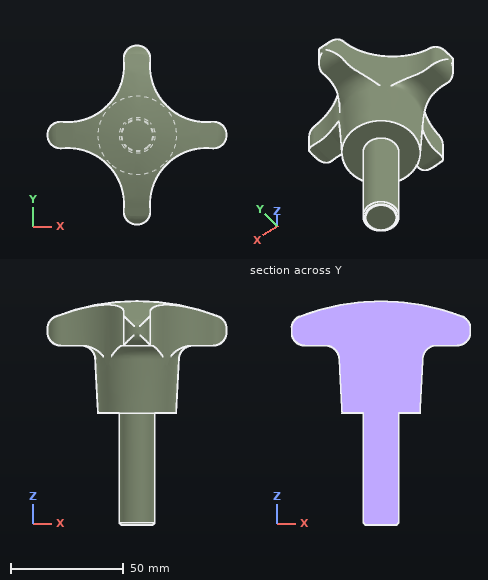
import cadquery as cq
import math


arm_reach = 40.0
arm_count = 4
tip_radius = 6.0
valley_radius = 25.0
head_top = 50.0
head_bottom = 30.0
dome_radius = 100.0

hub_base_radius = 17.5
hub_draft = math.radians(3)
neck_radius = 6.0

stud_radius = 8.0
stud_length = 50.0
stud_bevel = 0.8
stud_end_width = 0.4
stud_end_height = 0.2

tip_center = arm_reach - tip_radius


def polar(radius, angle):
    """Point at a distance from the origin, at an angle in radians."""
    return (radius * math.cos(angle), radius * math.sin(angle))


def offset_point(center_x, center_z, radius, angle):
    """Point on a circle around a given center, at an angle in radians."""
    x, z = polar(radius, angle)
    return (center_x + x, center_z + z)


def revolved_body():
    """Hub and domed head as one solid of revolution, before the arms are shaped."""
    dome_center = head_top - dome_radius
    upper_tip_center = dome_center + math.sqrt((dome_radius - tip_radius) ** 2 - tip_center ** 2)
    lower_tip_center = head_bottom + tip_radius
    touch_angle = math.atan2(upper_tip_center - dome_center, tip_center)

    neck_height = head_bottom - neck_radius
    neck_center = hub_base_radius + neck_height * math.tan(hub_draft) + neck_radius / math.cos(hub_draft)
    neck_start_angle = math.pi - hub_draft
    neck_middle_angle = (neck_start_angle + math.pi / 2) / 2
    neck_start = offset_point(neck_center, neck_height, neck_radius, neck_start_angle)
    neck_middle = offset_point(neck_center, neck_height, neck_radius, neck_middle_angle)

    lower_tip_middle = offset_point(tip_center, lower_tip_center, tip_radius, math.radians(-45))
    upper_tip_middle = offset_point(tip_center, upper_tip_center, tip_radius, touch_angle / 2)
    dome_middle_angle = (touch_angle + math.pi / 2) / 2
    dome_edge = offset_point(0, dome_center, dome_radius, touch_angle)
    dome_middle = offset_point(0, dome_center, dome_radius, dome_middle_angle)

    profile = (
        cq.Workplane("XZ")
        .moveTo(0, 0)
        .lineTo(hub_base_radius, 0)
        .lineTo(*neck_start)
        .threePointArc(neck_middle, (neck_center, head_bottom))
        .lineTo(tip_center, head_bottom)
        .threePointArc(lower_tip_middle, (arm_reach, lower_tip_center))
        .lineTo(arm_reach, upper_tip_center)
        .threePointArc(upper_tip_middle, dome_edge)
        .threePointArc(dome_middle, (0, head_top))
        .close()
    )
    return profile.revolve(360, (0, 0, 0), (0, 1, 0))


def cross_prism():
    """Upright prism of the cross: round arm tips joined by tangent concave valleys."""
    arm_pitch = 2 * math.pi / arm_count
    half_pitch = arm_pitch / 2

    center_gap = tip_radius + valley_radius
    valley_center = tip_center * math.cos(half_pitch) + math.sqrt(
        center_gap ** 2 - (tip_center * math.sin(half_pitch)) ** 2
    )
    valley_x, valley_y = polar(valley_center, half_pitch)
    share = tip_radius / center_gap
    touch_x = tip_center + share * (valley_x - tip_center)
    touch_y = share * valley_y
    touch_distance = math.hypot(touch_x, touch_y)
    touch_angle = math.atan2(touch_y, touch_x)
    valley_floor = valley_center - valley_radius

    outline = cq.Workplane("XY").moveTo(*polar(touch_distance, -touch_angle))
    for arm in range(arm_count):
        angle = arm * arm_pitch
        outline = outline.threePointArc(
            polar(arm_reach, angle),
            polar(touch_distance, angle + touch_angle),
        )
        outline = outline.threePointArc(
            polar(valley_floor, angle + half_pitch),
            polar(touch_distance, angle + arm_pitch - touch_angle),
        )
    return outline.close().extrude(head_top)


def stud():
    """Plain stud below the hub, with a double bevel at its free end."""
    bevel_bottom = stud_end_height - stud_length
    bevel_top = bevel_bottom + stud_bevel
    bevel_radius = stud_radius - stud_bevel
    end_radius = bevel_radius - stud_end_width

    profile = (
        cq.Workplane("XZ")
        .lineTo(stud_radius, 0)
        .lineTo(stud_radius, bevel_top)
        .lineTo(bevel_radius, bevel_bottom)
        .lineTo(end_radius, -stud_length)
        .lineTo(0, -stud_length)
        .close()
    )
    return profile.revolve(360, (0, 0, 0), (0, 1, 0))


result = revolved_body().intersect(cross_prism()).union(stud())